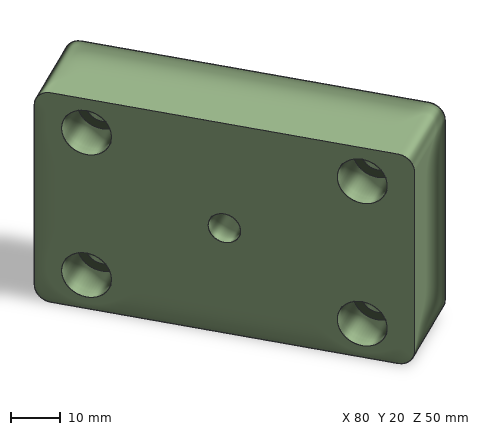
import cadquery as cq

length = 80.0
height = 50.0
thickness = length / 4
corner_radius = 3.5

hole_spacing_x = 58.0
hole_spacing_z = 34.0
hole_diameter = 7.0
counterbore_diameter = 10.5
counterbore_depth = thickness / 2

center_hole_diameter = 6.8


def make_block():
    block = cq.Workplane("XY").box(length, thickness, height)
    return block.edges("|Y").fillet(corner_radius)


def front_plane(body):
    return body.faces("<Y").workplane(centerOption="CenterOfBoundBox")


def cut_mounting_holes(body):
    corners = front_plane(body).rarray(hole_spacing_x, hole_spacing_z, 2, 2)
    return corners.cboreHole(hole_diameter, counterbore_diameter, counterbore_depth)


def cut_center_hole(body):
    return front_plane(body).hole(center_hole_diameter)


block = make_block()
drilled_block = cut_mounting_holes(block)
result = cut_center_hole(drilled_block)